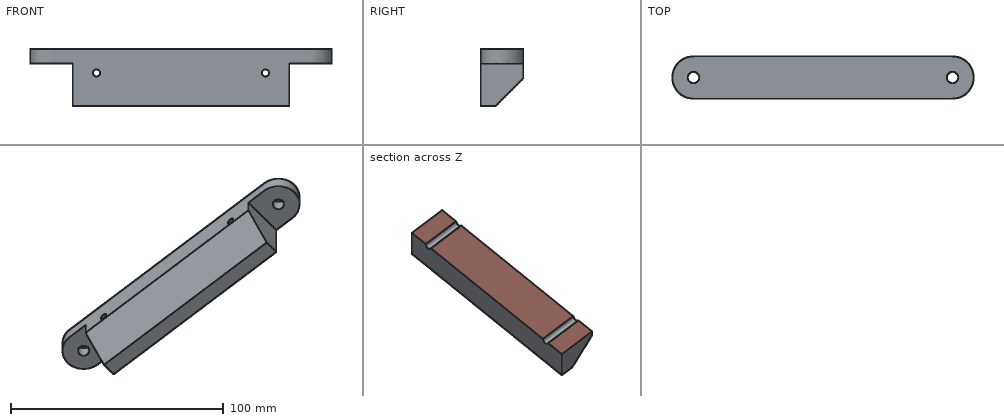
import cadquery as cq

length = 142.0
width = 20.0
plate_thickness = 7.0
end_radius = width / 2
plate_hole_diameter = 5.3
plate_hole_spacing = length - 2 * end_radius

total_height = 27.0
block_length = length - 2 * width
bevel = 13.0
block_hole_diameter = 3.3
block_hole_spacing = 79.5
block_hole_depth_from_top = 11.4


def make_plate():
    """Round-ended plate whose top face lies at Z = 0."""
    return (
        cq.Workplane("XY")
        .workplane(offset=-plate_thickness)
        .slot2D(length, width)
        .extrude(plate_thickness)
    )


def make_block():
    """Block under the plate with its lower +Y edge bevelled."""
    front = -width / 2
    back = width / 2
    profile = [
        (front, -plate_thickness),
        (back, -plate_thickness),
        (back, -total_height + bevel),
        (back - bevel, -total_height),
        (front, -total_height),
    ]
    return (
        cq.Workplane("YZ")
        .polyline(profile)
        .close()
        .extrude(block_length / 2, both=True)
    )


def make_plate_holes():
    """Vertical holes, concentric with the rounded ends."""
    return (
        cq.Workplane("XY")
        .rarray(plate_hole_spacing, 1.4, 2, 1)
        .circle(plate_hole_diameter / 2)
        .extrude(-plate_thickness)
    )


def make_block_holes():
    """Holes running through the block along Y."""
    return (
        cq.Workplane("XZ")
        .center(0, -block_hole_depth_from_top)
        .rarray(block_hole_spacing, 1.4, 2, 1)
        .circle(block_hole_diameter / 2)
        .extrude(width / 2, both=True)
    )


body = make_plate().union(make_block())
result = body.cut(make_plate_holes()).cut(make_block_holes())